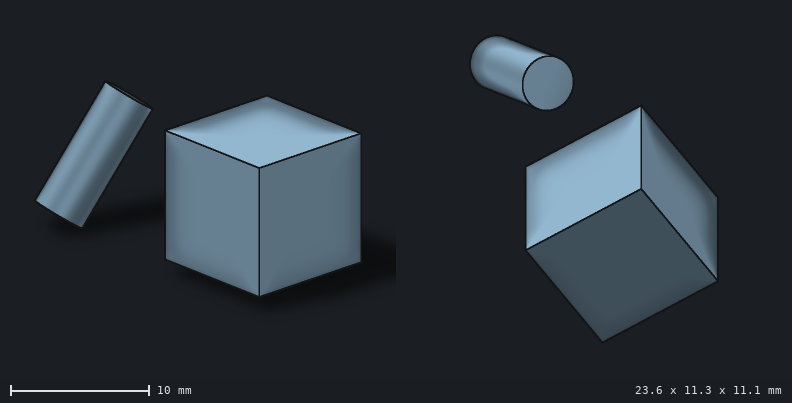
import cadquery as cq
import math

cube_side = 10.0

pin_diameter = 4.0
pin_length = cube_side
pin_center = cq.Vector(-15.9, -1.91, -0.9)
pin_tilt = math.radians(35)
pin_heading = math.radians(75)


def make_cube():
    return cq.Workplane("XY").box(cube_side, cube_side, cube_side)


def make_pin():
    axis = cq.Vector(
        math.sin(pin_tilt) * math.cos(pin_heading),
        math.sin(pin_tilt) * math.sin(pin_heading),
        math.cos(pin_tilt),
    )
    lower_end = pin_center - axis * (pin_length / 2)
    end_plane = cq.Plane(origin=lower_end, normal=axis)
    return cq.Workplane(end_plane).circle(pin_diameter / 2).extrude(pin_length)


cube = make_cube()
pin = make_pin()

result = cq.Compound.makeCompound([cube.val(), pin.val()])